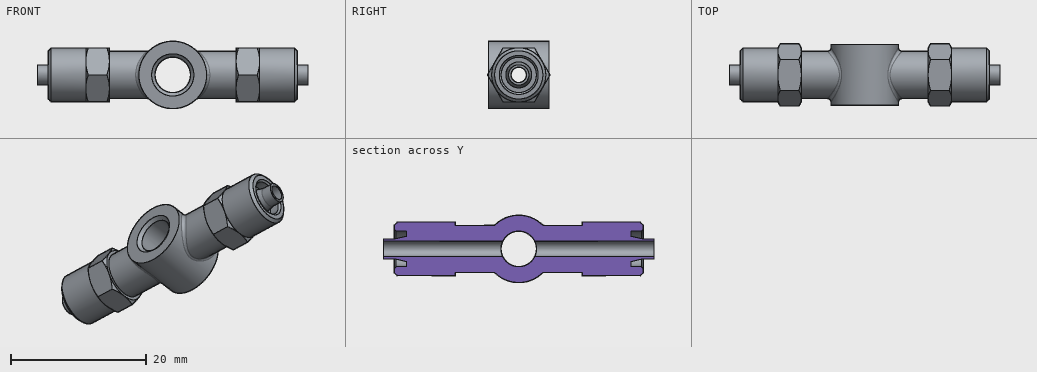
import cadquery as cq
import math

LENGTH = 40.0
EYE_RADIUS = 5.0
EYE_WIDTH = 9.0
EYE_BORE_RADIUS = 2.6
EYE_BORE_CHAMFER = 0.5

ARM_RADIUS = 3.5
ARM_FILLET = 0.5

HEX_FLATS = 8.0
HEX_INNER_X = 9.35
HEX_OUTER_X = 12.85
HEX_CROWN_LENGTH = 0.35

SLEEVE_RADIUS = HEX_FLATS / 2
SLEEVE_END_X = 18.4
SLEEVE_CHAMFER = 0.45

RECESS_DEPTH = 1.8
RECESS_RADIUS = 2.6
RECESS_CHAMFER = 0.3

SPIGOT_RADIUS = 1.5
SPIGOT_ROOT_RADIUS = 1.9
SPIGOT_FLARE_LENGTH = 1.8
PASSAGE_RADIUS = 1.1

TIP_X = LENGTH / 2
RECESS_FLOOR_X = SLEEVE_END_X - RECESS_DEPTH
HEX_CORNER_RADIUS = HEX_FLATS / 2 / math.cos(math.pi / 6)


def revolve_about_x(points):
    """Turn a closed (x, radius) outline about the X axis."""
    return cq.Workplane("XY").polyline(points).close().revolve(360, (0, 0, 0), (1, 0, 0))


def make_body():
    """Eye crossed by the two arms, blended where they meet."""
    eye = cq.Workplane("XZ").circle(EYE_RADIUS).extrude(EYE_WIDTH / 2, both=True)
    arms = cq.Workplane("YZ").circle(ARM_RADIUS).extrude(HEX_OUTER_X, both=True)
    joint_edges = cq.selectors.BoxSelector(
        (-EYE_RADIUS, -ARM_RADIUS, -ARM_RADIUS), (EYE_RADIUS, ARM_RADIUS, ARM_RADIUS)
    )
    return eye.union(arms).edges("not %CIRCLE").edges("not %LINE").edges(joint_edges).fillet(ARM_FILLET)


def make_hex_collar():
    """Hexagon with corners on +Y and -Y, crowned at both ends."""
    collar = (
        cq.Workplane("YZ", origin=(HEX_INNER_X, 0, 0))
        .polygon(6, 2 * HEX_CORNER_RADIUS)
        .extrude(HEX_OUTER_X - HEX_INNER_X)
    )
    crown = revolve_about_x([
        (HEX_INNER_X, 0),
        (HEX_INNER_X, HEX_FLATS / 2),
        (HEX_INNER_X + HEX_CROWN_LENGTH, HEX_CORNER_RADIUS),
        (HEX_OUTER_X - HEX_CROWN_LENGTH, HEX_CORNER_RADIUS),
        (HEX_OUTER_X, HEX_FLATS / 2),
        (HEX_OUTER_X, 0),
    ])
    return collar.intersect(crown)


def make_sleeve():
    """Sleeve, recess and spigot of the +X end as one turned outline."""
    return revolve_about_x([
        (HEX_OUTER_X, 0),
        (HEX_OUTER_X, SLEEVE_RADIUS),
        (SLEEVE_END_X - SLEEVE_CHAMFER, SLEEVE_RADIUS),
        (SLEEVE_END_X, SLEEVE_RADIUS - SLEEVE_CHAMFER),
        (SLEEVE_END_X, RECESS_RADIUS + RECESS_CHAMFER),
        (SLEEVE_END_X - RECESS_CHAMFER, RECESS_RADIUS),
        (RECESS_FLOOR_X, RECESS_RADIUS),
        (RECESS_FLOOR_X, SPIGOT_ROOT_RADIUS),
        (RECESS_FLOOR_X + SPIGOT_FLARE_LENGTH, SPIGOT_RADIUS),
        (TIP_X, SPIGOT_RADIUS),
        (TIP_X, 0),
    ])


def make_eye_bore():
    """Cutter for the eye's bore, chamfered at both mouths."""
    mouth_radius = EYE_BORE_RADIUS + EYE_BORE_CHAMFER
    bore = cq.Workplane("XZ").circle(mouth_radius).extrude(EYE_WIDTH / 2, both=True)
    waist = (
        cq.Workplane("XY")
        .polyline([
            (EYE_BORE_RADIUS, EYE_WIDTH / 2 - EYE_BORE_CHAMFER),
            (mouth_radius, EYE_WIDTH / 2),
            (mouth_radius, -EYE_WIDTH / 2),
            (EYE_BORE_RADIUS, -EYE_WIDTH / 2 + EYE_BORE_CHAMFER),
        ])
        .close()
        .revolve(360, (0, 0, 0), (0, 1, 0))
    )
    return bore.cut(waist)


end_fitting = make_hex_collar().union(make_sleeve())
passage = cq.Workplane("YZ").circle(PASSAGE_RADIUS).extrude(TIP_X, both=True)

result = (
    make_body()
    .union(end_fitting)
    .union(end_fitting.mirror("YZ"))
    .cut(make_eye_bore())
    .cut(passage)
)